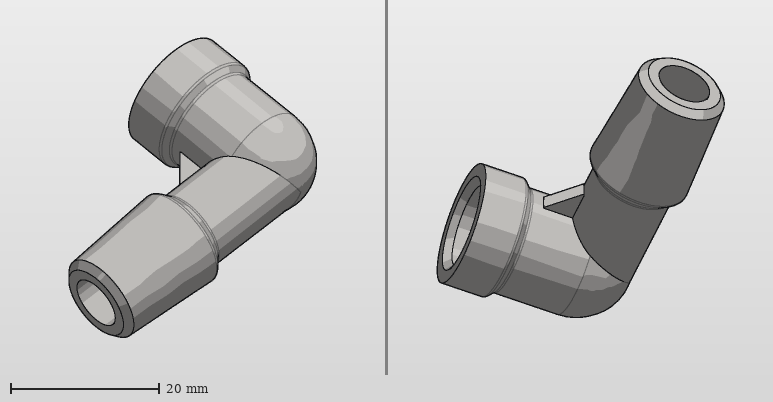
import cadquery as cq


socket_radius = 8.5
socket_face_x = -18.75
socket_collar_length = 6.1
socket_pipe_radius = 15.0 / 2
socket_bore_radius = 5.7
socket_mouth_chamfer = 1.0

spigot_pipe_radius = 11.5 / 2
spigot_bore_radius = 3.7
spigot_shoulder_y = -15.6
plug_radius = 7.2
plug_end_radius = 6.25
spigot_end_y = -33.0
plug_end_chamfer = 1.0

dome_start_x = -2.15
rib_leg = 4.15
rib_thickness = 2.4
edge_fillet = 0.5


def domed_rod(radius, tip_x):
    """Round rod along X from the socket face, closed by a half ellipsoid reaching tip_x."""
    return (
        cq.Workplane("XY")
        .moveTo(socket_face_x, 0)
        .lineTo(tip_x, 0)
        .ellipseArc(tip_x - dome_start_x, radius, 0, 90, startAtCurrent=True)
        .lineTo(socket_face_x, radius)
        .close()
        .revolve(360, (0, 0), (1, 0))
    )


def rod_along_spigot(radius, end_y):
    """Round rod from the origin along the spigot axis."""
    return cq.Workplane("XZ").circle(radius).extrude(-end_y)


def round_circle_at(solid, center):
    """Fillet the circular edge whose center is nearest to the given point."""
    return solid.edges("%CIRCLE").edges(cq.selectors.NearestToPointSelector(center)).fillet(edge_fillet)


def socket_collar():
    """Thick collar at the mouth, sloping at 45 degrees down to the pipe, with rounded slope edges."""
    slope_start_x = socket_face_x + socket_collar_length
    slope_end_x = slope_start_x + socket_radius - socket_pipe_radius
    pipe_end_x = slope_end_x + edge_fillet
    outline = (
        cq.Workplane("XY")
        .moveTo(socket_face_x, 0)
        .lineTo(socket_face_x, socket_radius)
        .lineTo(slope_start_x, socket_radius)
        .lineTo(slope_end_x, socket_pipe_radius)
        .lineTo(pipe_end_x, socket_pipe_radius)
        .lineTo(pipe_end_x, 0)
        .close()
    )
    collar = outline.revolve(360, (0, 0), (1, 0))
    return round_circle_at(round_circle_at(collar, (slope_start_x, 0, 0)), (slope_end_x, 0, 0))


def spigot_plug():
    """Tapered plug with a rounded 45 degree shoulder and a chamfered end."""
    slope_end_y = spigot_shoulder_y - (plug_radius - spigot_pipe_radius)
    pipe_end_y = spigot_shoulder_y + edge_fillet
    outline = (
        cq.Workplane("XY")
        .moveTo(0, pipe_end_y)
        .lineTo(spigot_pipe_radius, pipe_end_y)
        .lineTo(spigot_pipe_radius, spigot_shoulder_y)
        .lineTo(plug_radius, slope_end_y)
        .lineTo(plug_end_radius, spigot_end_y + plug_end_chamfer)
        .lineTo(plug_end_radius - plug_end_chamfer, spigot_end_y)
        .lineTo(0, spigot_end_y)
        .close()
    )
    plug = outline.revolve(360, (0, 0), (0, 1))
    return round_circle_at(round_circle_at(plug, (0, spigot_shoulder_y, 0)), (0, slope_end_y, 0))


def corner_rib():
    """Triangular web filling the inner corner between the two pipes."""
    return (
        cq.Workplane("XY")
        .polyline(
            [
                (0, 0),
                (-spigot_pipe_radius - rib_leg, -socket_pipe_radius),
                (-spigot_pipe_radius, -socket_pipe_radius - rib_leg),
            ]
        )
        .close()
        .extrude(rib_thickness / 2, both=True)
    )


def socket_mouth():
    """45 degree lead-in at the socket face."""
    return (
        cq.Workplane("XY")
        .moveTo(socket_face_x, 0)
        .lineTo(socket_face_x, socket_bore_radius + socket_mouth_chamfer)
        .lineTo(socket_face_x + socket_mouth_chamfer, socket_bore_radius)
        .lineTo(socket_face_x + socket_mouth_chamfer, 0)
        .close()
        .revolve(360, (0, 0), (1, 0))
    )


body = (
    domed_rod(socket_pipe_radius, spigot_pipe_radius)
    .union(socket_collar())
    .union(rod_along_spigot(spigot_pipe_radius, spigot_shoulder_y))
    .union(spigot_plug())
    .union(corner_rib())
)
result = (
    body.cut(domed_rod(socket_bore_radius, spigot_bore_radius))
    .cut(rod_along_spigot(spigot_bore_radius, spigot_end_y))
    .cut(socket_mouth())
)